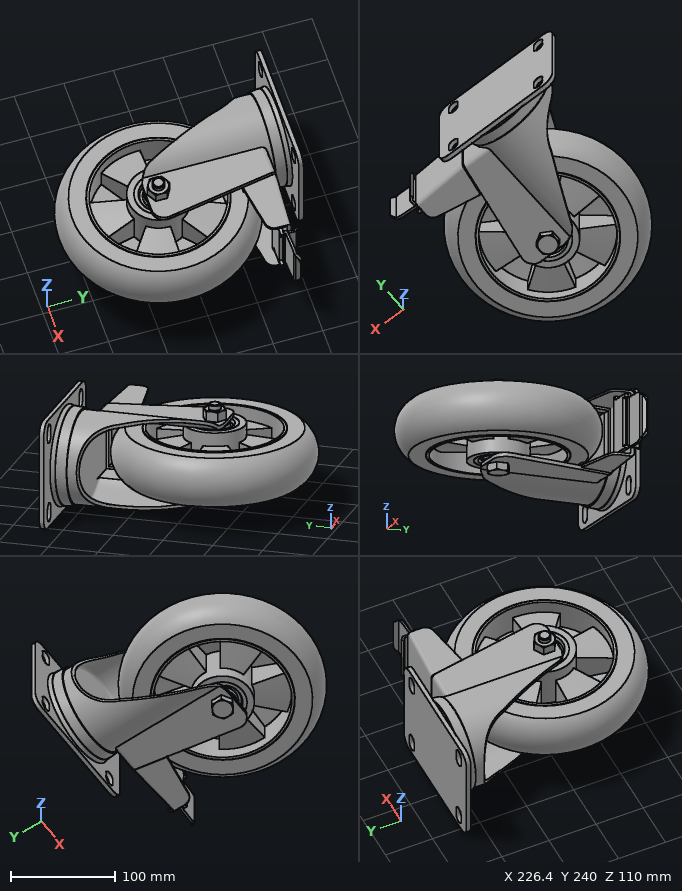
import cadquery as cq
import math


TYRE_RADIUS = 100.0
TYRE_FACE_RADIUS = 86.5
TYRE_HALF_WIDTH = 25.0
RIM_RADIUS = 69.5
RIM_EDGE_CHAMFER = 0.5
RIM_INNER_RADIUS = 66.5
HUB_RADIUS = 30.5
HUB_HALF_LENGTH = 30.5
WEB_HALF_HEIGHT_AT_HUB = 16.8
WEB_HALF_HEIGHT_AT_RIM = 11.0
WEB_THICKNESS = 3.5
WEB_INNER_RADIUS = 26.5
WEB_OUTER_RADIUS = 68.0
WEB_WALL = 5.0
POCKET_COUNT = 5
HUB_FACE_RADIUS = 23.5
HUB_FACE_STEP = 0.2
RECESS_RADIUS = 19.5
RECESS_FLOOR_RADIUS = 18.12
RECESS_DEPTH = 3.5
COLLAR_RADIUS = 15.4
COLLAR_TIP_RADIUS = 14.05

BOLT_RADIUS = 6.0
BOLT_TIP_RADIUS = 5.0
BOLT_TIP_Z = 50.0
HEX_FLATS = 20.0
HEX_CORNERS = HEX_FLATS / math.cos(math.pi / 6)
HEX_CHAMFER_SLOPE = math.tan(math.pi / 6)
NUT_HEIGHT = 10.0
HEAD_HEIGHT = 7.7

PLATE_TOP_Y = 240 - TYRE_RADIUS
PLATE_THICKNESS = 4.8
PLATE_LENGTH = 140.2
PLATE_WIDTH = 110.0
PLATE_CORNER = 12.0
SLOT_PITCH_X = 105.0
SLOT_PITCH_Z = 80.0
SLOT_LENGTH = 18.5
SLOT_WIDTH = 11.0
SWIVEL_X = -50.0
FLARE_BASE_RADIUS = 49.7
FLARE_NECK_RADIUS = 48.0
FLARE_HEIGHT = 4.8

FORK_RADIUS = 46.0
FORK_TUBE_WALL = 3.4
FORK_WALL = 4.0
LEG_OUTER_Z = 34.5
LEG_INNER_Z = LEG_OUTER_Z - FORK_WALL
FORK_WEB_TOP_Y = 114.7
FORK_WEB_BOTTOM_Y = FORK_WEB_TOP_Y - FORK_WALL
FORK_BEND_RADIUS = 5.0
FORK_FLOOR_FILLET = 2.9
LEG_BOTTOM_Y = -12.7
LEG_EDGE_TOP_X = 11.0
LEG_EDGE_BOTTOM_X = 33.4
LEG_FRONT_CORNER_X = -24.2
LEG_FRONT_RADIUS = 26.5
LEG_BACK_RADIUS = 12.5
MOUTH_START = (-96.0, 109.7)
MOUTH_MIDDLE = (-79.7, 98.0)
MOUTH_END = (-66.0, 75.4)
BAND_TOP_Y = PLATE_TOP_Y - PLATE_THICKNESS - FLARE_HEIGHT
BAND_BOTTOM_Y = 119.3
BAND_TOP_RADIUS = 48.7
BAND_BOTTOM_RADIUS = 47.8

COVER_SHEET = 2.5
COVER_OUTER_Z = LEG_INNER_Z + COVER_SHEET
COVER_END_X = 73.5
COVER_END_TOP_Y = 110.6
COVER_GAP = 1.5
COVER_TONGUE = 6.0
COVER_OVERLAP = 2.5
COVER_CORNER_Y = 88.0
COVER_CORNER_RADIUS = 9.5
COVER_EDGE_BOTTOM_Y = 79.0
COVER_BEND_RADIUS = 3.8
COVER_INNER_FILLET = 1.7

PEDAL_HALF_WIDTH = 25.0
PEDAL_CORNER = 13.7
PEDAL_THICKNESS = 2.6
LOCK_PLATE_X = (52.5, 79.2)
LOCK_PLATE_Y = (98.2, 101.8)
LOCK_PLATE_HALF_WIDTH = 27.0
LOCK_BAR_LENGTH = 3.8
LOCK_EAR_INNER_Z = 24.0
PEDAL_START = (74.2, 103.5)
PEDAL_BEND = (100.3, 104.6)
PEDAL_KICK = (102.7, 105.8)
PEDAL_TIP = (106.3, 109.5)
TAB_X = 75.4
TAB_THICKNESS = 2.5
TAB_BEND_Y = 112.8
TAB_TIP = (72.5, 115.2)


def box(x, y, z):
    """Block between the given (low, high) limits along each axis."""
    size = [high - low for low, high in (x, y, z)]
    return cq.Workplane("XY").box(*size, centered=False).translate((x[0], y[0], z[0]))


def symmetric_prism(points, half_width):
    """Outline in the XY plane, extruded equally to both sides of the wheel's middle plane."""
    return cq.Workplane("XY").polyline(points).close().extrude(half_width, both=True)


def turned_about_z(points):
    """Solid of revolution about the wheel axis, from (radius, z) points."""
    return cq.Workplane("XZ").polyline(points).close().revolve(360, (0, 0), (0, 1))


def turned_about_swivel(points):
    """Solid of revolution about the swivel line, from (radius, y) points."""
    turned = cq.Workplane("XY").polyline(points).close().revolve(360, (0, 0), (0, 1))
    return turned.translate((SWIVEL_X, 0, 0))


def along_y(y):
    """Workplane at the given Y: local x is X, local y is Z, and extrusion runs towards -Y."""
    return cq.Workplane("XZ", origin=(0, y, 0))


def make_tyre():
    crown = (
        cq.Workplane("XZ")
        .moveTo(RIM_RADIUS, -TYRE_HALF_WIDTH)
        .lineTo(TYRE_FACE_RADIUS, -TYRE_HALF_WIDTH)
        .threePointArc((TYRE_RADIUS, 0), (TYRE_FACE_RADIUS, TYRE_HALF_WIDTH))
        .lineTo(RIM_RADIUS, TYRE_HALF_WIDTH)
        .close()
    )
    return crown.revolve(360, (0, 0), (0, 1))


def web_height(radius):
    """Height of the web's conical faces above the wheel's middle plane."""
    fall = (radius - HUB_RADIUS) / (RIM_INNER_RADIUS - HUB_RADIUS)
    return WEB_HALF_HEIGHT_AT_HUB + fall * (WEB_HALF_HEIGHT_AT_RIM - WEB_HALF_HEIGHT_AT_HUB)


def make_pocket():
    """Cutter for one front pocket: a wedge whose floor falls towards the hub."""
    ring = turned_about_z([
        (WEB_INNER_RADIUS, WEB_THICKNESS - web_height(WEB_INNER_RADIUS)),
        (RIM_RADIUS, WEB_THICKNESS - web_height(RIM_RADIUS)),
        (RIM_RADIUS, TYRE_HALF_WIDTH),
        (WEB_INNER_RADIUS, TYRE_HALF_WIDTH),
    ])
    half_angle = math.pi / (2 * POCKET_COUNT)
    apex = WEB_WALL / 2 / math.sin(half_angle)
    reach = TYRE_RADIUS
    spread = (reach - apex) * math.tan(half_angle)
    wedge = symmetric_prism([(apex, 0), (reach, -spread), (reach, spread)], HUB_HALF_LENGTH)
    return ring.intersect(wedge)


def make_web():
    """Conical web between hub and rim, with pockets cut alternately from the front and the back."""
    web = turned_about_z([
        (WEB_INNER_RADIUS, -web_height(WEB_INNER_RADIUS)),
        (WEB_OUTER_RADIUS, -web_height(WEB_OUTER_RADIUS)),
        (WEB_OUTER_RADIUS, web_height(WEB_OUTER_RADIUS)),
        (WEB_INNER_RADIUS, web_height(WEB_INNER_RADIUS)),
    ])
    front_pocket = make_pocket()
    half_pitch = 180 / POCKET_COUNT / 2
    for index in range(POCKET_COUNT):
        angle = half_pitch + index * 360 / POCKET_COUNT
        pocket = front_pocket.rotate((0, 0, 0), (0, 0, 1), angle)
        web = web.cut(pocket)
        web = web.cut(pocket.rotate((0, 0, 0), (1, 0, 0), 180))
    return web


def make_hub_recess():
    """Cutter for the stepped recess around the collar at the +Z end of the hub."""
    floor_z = HUB_HALF_LENGTH - RECESS_DEPTH
    step_z = HUB_HALF_LENGTH - HUB_FACE_STEP
    return turned_about_z([
        (COLLAR_RADIUS, floor_z),
        (RECESS_FLOOR_RADIUS, floor_z),
        (RECESS_RADIUS, step_z),
        (HUB_FACE_RADIUS, step_z),
        (HUB_FACE_RADIUS, HUB_HALF_LENGTH),
        (COLLAR_TIP_RADIUS, HUB_HALF_LENGTH),
    ])


def make_rim():
    ring = cq.Workplane("XY").circle(RIM_RADIUS).extrude(TYRE_HALF_WIDTH, both=True)
    ring = ring.edges().chamfer(RIM_EDGE_CHAMFER)
    ring = ring.cut(cq.Workplane("XY").circle(RIM_INNER_RADIUS).extrude(TYRE_HALF_WIDTH, both=True))
    hub = cq.Workplane("XY").circle(HUB_RADIUS).extrude(HUB_HALF_LENGTH, both=True)
    rim = make_web().union(ring).union(hub)

    front_recess = make_hub_recess()
    rim = rim.cut(front_recess).cut(front_recess.mirror("XY"))
    return rim.cut(cq.Workplane("XY").circle(BOLT_RADIUS).extrude(HUB_HALF_LENGTH, both=True))


def make_hexagon(height):
    """Hexagon standing on z = 0, flats facing X, with its upper corners turned off."""
    hexagon = cq.Workplane("XY").polygon(6, HEX_CORNERS).extrude(height)
    hexagon = hexagon.rotate((0, 0, 0), (0, 0, 1), 30)
    corner_drop = (HEX_CORNERS - HEX_FLATS) / 2 * HEX_CHAMFER_SLOPE
    envelope = turned_about_z([
        (0, 0),
        (HEX_CORNERS / 2, 0),
        (HEX_CORNERS / 2, height - corner_drop),
        (HEX_FLATS / 2, height),
        (0, height),
    ])
    return hexagon.intersect(envelope)


def make_bolt():
    head = make_hexagon(HEAD_HEIGHT).mirror("XY").translate((0, 0, -LEG_OUTER_Z))
    shank = cq.Workplane("XY", origin=(0, 0, -LEG_OUTER_Z)).circle(BOLT_RADIUS)
    shank = shank.extrude(LEG_OUTER_Z + BOLT_TIP_Z)
    shank = shank.faces(">Z").chamfer(BOLT_RADIUS - BOLT_TIP_RADIUS)
    return head.union(shank)


def make_nut():
    nut = make_hexagon(NUT_HEIGHT).faces("<Z").workplane().hole(2 * BOLT_RADIUS)
    return nut.translate((0, 0, LEG_OUTER_Z))


def make_plate():
    underside_y = PLATE_TOP_Y - PLATE_THICKNESS
    plate = along_y(PLATE_TOP_Y).center(SWIVEL_X, 0).rect(PLATE_LENGTH, PLATE_WIDTH)
    plate = plate.extrude(PLATE_THICKNESS).edges("|Y").fillet(PLATE_CORNER)
    slots = (
        along_y(PLATE_TOP_Y)
        .center(SWIVEL_X, 0)
        .rect(SLOT_PITCH_X, SLOT_PITCH_Z, forConstruction=True)
        .vertices()
        .slot2D(SLOT_LENGTH, SLOT_WIDTH, 90)
        .extrude(PLATE_THICKNESS)
    )
    flare = turned_about_swivel([
        (0, underside_y),
        (FLARE_BASE_RADIUS, underside_y),
        (FLARE_NECK_RADIUS, underside_y - FLARE_HEIGHT),
        (0, underside_y - FLARE_HEIGHT),
    ])
    return plate.cut(slots).union(flare)


def make_tube(radius, top_y):
    """Filled round front of the fork, from the leg bottoms up to top_y."""
    return along_y(top_y).center(SWIVEL_X, 0).circle(radius).extrude(top_y - LEG_BOTTOM_Y)


def make_sides(half_width, top_y):
    """Filled straight part of the fork behind the swivel line, from the leg bottoms up to top_y."""
    return box((SWIVEL_X, LEG_EDGE_BOTTOM_X), (LEG_BOTTOM_Y, top_y), (-half_width, half_width))


def make_fork_outline():
    """Side outline of the fork, as a prism through the full width."""
    left_x = SWIVEL_X - 2 * FORK_RADIUS
    outline = (
        cq.Workplane("XY")
        .moveTo(left_x, FORK_WEB_TOP_Y)
        .lineTo(left_x, MOUTH_START[1])
        .lineTo(*MOUTH_START)
        .threePointArc(MOUTH_MIDDLE, MOUTH_END)
        .lineTo(LEG_FRONT_CORNER_X, LEG_BOTTOM_Y)
        .lineTo(LEG_EDGE_BOTTOM_X, LEG_BOTTOM_Y)
        .lineTo(LEG_EDGE_TOP_X, FORK_WEB_TOP_Y)
        .close()
        .extrude(FORK_RADIUS, both=True)
    )
    bottom_edges = outline.faces("<Y").edges("|Z")
    outline = bottom_edges.edges("<X").fillet(LEG_FRONT_RADIUS)
    return outline.faces("<Y").edges("|Z").edges(">X").fillet(LEG_BACK_RADIUS)


def make_fork():
    tube = make_tube(FORK_RADIUS, FORK_WEB_TOP_Y)
    sides = make_sides(LEG_OUTER_Z, FORK_WEB_TOP_Y).edges("|X and >Y").fillet(FORK_BEND_RADIUS)
    cavity_tube = make_tube(FORK_RADIUS - FORK_TUBE_WALL, FORK_WEB_BOTTOM_Y)
    cavity_tube = cavity_tube.faces(">Y").edges().fillet(FORK_FLOOR_FILLET)
    cavity_sides = make_sides(LEG_INNER_Z, FORK_WEB_BOTTOM_Y)
    body = tube.union(sides).intersect(make_fork_outline())
    body = body.cut(cavity_tube).cut(cavity_sides)

    collar = turned_about_swivel([
        (0, FORK_WEB_BOTTOM_Y),
        (FORK_RADIUS, FORK_WEB_BOTTOM_Y),
        (FORK_RADIUS, BAND_BOTTOM_Y),
        (BAND_BOTTOM_RADIUS, BAND_BOTTOM_Y),
        (BAND_TOP_RADIUS, BAND_TOP_Y),
        (0, BAND_TOP_Y),
    ])
    axle_hole = cq.Workplane("XY").circle(BOLT_RADIUS).extrude(LEG_OUTER_Z, both=True)
    return body.union(collar).cut(axle_hole)


def fork_edge_x(y):
    """X of the straight rear edge of the fork at the given Y."""
    rise = (y - LEG_BOTTOM_Y) / (FORK_WEB_TOP_Y - LEG_BOTTOM_Y)
    return LEG_EDGE_BOTTOM_X + rise * (LEG_EDGE_TOP_X - LEG_EDGE_BOTTOM_X)


def make_cover():
    """Brake cover: a wide channel behind the fork with a narrow end set inside the fork."""
    top_x = fork_edge_x(FORK_WEB_TOP_Y) + COVER_GAP
    bottom_x = fork_edge_x(COVER_EDGE_BOTTOM_Y) + COVER_GAP
    bottom_edge = [(bottom_x, COVER_EDGE_BOTTOM_Y), (COVER_END_X, COVER_CORNER_Y)]
    top_edge = [(COVER_END_X, COVER_END_TOP_Y), (top_x, FORK_WEB_TOP_Y)]
    wide = symmetric_prism(bottom_edge + top_edge, COVER_OUTER_Z)
    wide = wide.edges("|Z and >X").edges("<Y").fillet(COVER_CORNER_RADIUS)
    wide = wide.faces(">Y").edges("not |Z").edges(">Z or <Z").fillet(COVER_BEND_RADIUS)
    hollow = symmetric_prism([
        (0, 0),
        (COVER_END_X, 0),
        (COVER_END_X, COVER_END_TOP_Y - FORK_WALL),
        (top_x, FORK_WEB_BOTTOM_Y),
        (0, FORK_WEB_BOTTOM_Y),
    ], LEG_INNER_Z)
    hollow = hollow.faces(">Y or >>Y[-2]").edges(">Z or <Z").fillet(COVER_INNER_FILLET)

    narrow_top_x = fork_edge_x(FORK_WEB_BOTTOM_Y)
    narrow_bottom_x = fork_edge_x(COVER_EDGE_BOTTOM_Y)
    outer_reach = COVER_GAP + COVER_OVERLAP
    narrow_outline = [
        (narrow_bottom_x - COVER_TONGUE, COVER_EDGE_BOTTOM_Y),
        (narrow_bottom_x + outer_reach, COVER_EDGE_BOTTOM_Y),
        (narrow_top_x + outer_reach, FORK_WEB_BOTTOM_Y),
        (narrow_top_x - COVER_TONGUE, FORK_WEB_BOTTOM_Y),
    ]
    narrow = symmetric_prism(narrow_outline, LEG_INNER_Z)
    narrow_inner_z = LEG_INNER_Z - COVER_SHEET
    narrow_hollow_y = (0, FORK_WEB_BOTTOM_Y - COVER_SHEET)
    narrow_hollow = box((0, COVER_END_X), narrow_hollow_y, (-narrow_inner_z, narrow_inner_z))
    return wide.cut(hollow).union(narrow.cut(narrow_hollow))


def make_pedal():
    """Eared lock plate under the cover, and the foot pedal that rises from it and ends in a kick-up."""
    lock_plate = box(LOCK_PLATE_X, LOCK_PLATE_Y, (-LOCK_PLATE_HALF_WIDTH, LOCK_PLATE_HALF_WIDTH))
    bar_x = (LOCK_PLATE_X[0], LOCK_PLATE_X[0] + LOCK_BAR_LENGTH)
    lock_bar = box(bar_x, LOCK_PLATE_Y, (-LEG_INNER_Z, LEG_INNER_Z))
    between_ears = (-LOCK_EAR_INNER_Z, LOCK_EAR_INNER_Z)
    notch = box((COVER_END_X, LOCK_PLATE_X[1]), LOCK_PLATE_Y, between_ears)
    lock_plate = lock_plate.union(lock_bar).cut(notch)
    riser_x = (PEDAL_START[0], PEDAL_START[0] + PEDAL_THICKNESS)
    riser_y = (LOCK_PLATE_Y[1], PEDAL_START[1] + PEDAL_THICKNESS)
    riser = box(riser_x, riser_y, (-PEDAL_HALF_WIDTH, PEDAL_HALF_WIDTH))
    tip_offset = PEDAL_THICKNESS / math.sqrt(2)
    foot = symmetric_prism([
        PEDAL_START,
        PEDAL_BEND,
        PEDAL_KICK,
        PEDAL_TIP,
        (PEDAL_TIP[0] - tip_offset, PEDAL_TIP[1] + tip_offset),
        (PEDAL_BEND[0], PEDAL_BEND[1] + PEDAL_THICKNESS),
        (PEDAL_START[0], PEDAL_START[1] + PEDAL_THICKNESS),
    ], PEDAL_HALF_WIDTH)
    rounding = (
        cq.Workplane("XZ")
        .rect(2 * PEDAL_TIP[0], 2 * PEDAL_HALF_WIDTH)
        .extrude(-PLATE_TOP_Y)
        .edges("|Y")
        .fillet(PEDAL_CORNER)
    )
    return lock_plate.union(riser).union(foot.intersect(rounding))


def make_release_tab():
    """Upright tab on the pedal, bent towards the cover at its top."""
    slope = (PEDAL_BEND[1] - PEDAL_START[1]) / (PEDAL_BEND[0] - PEDAL_START[0])
    pedal_top_y = PEDAL_START[1] + PEDAL_THICKNESS
    back_x = TAB_X + TAB_THICKNESS
    tip_offset = TAB_THICKNESS / math.sqrt(2)
    return symmetric_prism([
        (TAB_X, pedal_top_y + slope * (TAB_X - PEDAL_START[0])),
        (back_x, pedal_top_y + slope * (back_x - PEDAL_START[0])),
        (back_x, TAB_BEND_Y + TAB_THICKNESS / 2),
        (TAB_TIP[0] + tip_offset, TAB_TIP[1] + tip_offset),
        TAB_TIP,
        (TAB_X, TAB_BEND_Y),
    ], PEDAL_HALF_WIDTH)


plate = make_plate()
fork = make_fork()
cover = make_cover()
pedal = make_pedal()
release_tab = make_release_tab()
tyre = make_tyre()
rim = make_rim()
bolt = make_bolt()
nut = make_nut()

result = cq.Compound.makeCompound([
    plate.solids().val(),
    fork.solids().val(),
    cover.solids().val(),
    pedal.solids().val(),
    release_tab.solids().val(),
    tyre.solids().val(),
    rim.solids().val(),
    bolt.solids().val(),
    nut.solids().val(),
])